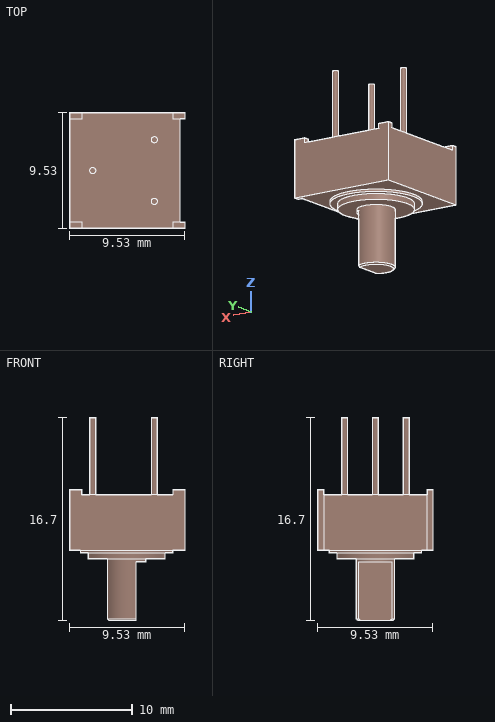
import cadquery as cq

overall_height = 16.73

body_size = 9.53
body_offset_x = 0.07
body_height = 5.0
recess_depth = 0.41

foot_length = 1.02
foot_width = 0.508
foot_height = 0.41
floor_z = body_height - foot_height

pin_diameter = 0.508
pin_height = 6.36
pin_pitch = 2.54
single_pin_inset = 1.905
single_pin_x = body_offset_x - body_size / 2 + single_pin_inset
paired_pin_x = single_pin_x + 2 * pin_pitch

flange_diameter = 7.62
flange_thickness = 0.2
collar_diameter = 6.35
collar_thickness = 0.5
collar_bottom_z = -flange_thickness - collar_thickness

shaft_diameter = 3.175
shaft_end_z = floor_z + pin_height - overall_height
shaft_length = collar_bottom_z - shaft_end_z
shaft_chamfer = 0.14
flat_offset = shaft_diameter / 4
flat_start = 0.25


def make_housing():
    """Square block with feet on its top corners and a set-back +X side."""
    block = cq.Workplane("XY").box(body_size, body_size, floor_z, centered=(True, True, False))
    feet = (
        cq.Workplane("XY")
        .workplane(offset=floor_z)
        .rect(body_size - foot_length, body_size - foot_width, forConstruction=True)
        .vertices()
        .rect(foot_length, foot_width)
        .extrude(foot_height)
    )
    recess = (
        cq.Workplane("XY")
        .center(body_size / 2 - recess_depth / 2, 0)
        .rect(recess_depth, body_size - 2 * foot_width)
        .extrude(floor_z)
    )
    return block.union(feet).cut(recess).translate((body_offset_x, 0, 0))


def make_pins():
    """Three round terminals in a triangle."""
    positions = [(single_pin_x, 0), (paired_pin_x, pin_pitch), (paired_pin_x, -pin_pitch)]
    return (
        cq.Workplane("XY")
        .workplane(offset=floor_z)
        .pushPoints(positions)
        .circle(pin_diameter / 2)
        .extrude(pin_height)
    )


def make_bushing():
    """Thin flange followed by a smaller collar."""
    flange = cq.Workplane("XY").circle(flange_diameter / 2).extrude(-flange_thickness)
    collar = cq.Workplane("XY").circle(collar_diameter / 2).extrude(collar_bottom_z)
    return flange.union(collar)


def make_shaft():
    """Chamfered D-shaft that stays fully round next to the collar."""
    shaft = (
        cq.Workplane("XY")
        .workplane(offset=collar_bottom_z)
        .circle(shaft_diameter / 2)
        .extrude(-shaft_length)
        .faces("<Z")
        .chamfer(shaft_chamfer)
    )
    flat_cut = (
        cq.Workplane("XY")
        .workplane(offset=shaft_end_z)
        .center(flat_offset + shaft_diameter / 2, 0)
        .rect(shaft_diameter, shaft_diameter)
        .extrude(shaft_length - flat_start)
    )
    return shaft.cut(flat_cut)


result = make_housing().union(make_pins()).union(make_bushing()).union(make_shaft())